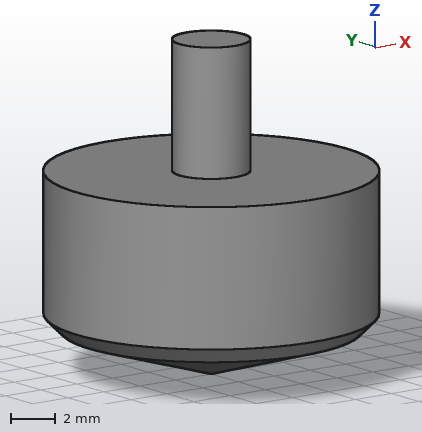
import cadquery as cq

total_height = 15.3
body_diameter = 15.0
stem_diameter = 3.5
stem_length = 6.0
chamfer_size = 0.75
cone_height = 2.05

body_radius = body_diameter / 2
stem_radius = stem_diameter / 2
cone_radius = body_radius - chamfer_size
body_bottom = cone_height + chamfer_size
body_top = total_height - stem_length

profile = (
    cq.Workplane("XZ")
    .moveTo(0, 0)
    .lineTo(cone_radius, cone_height)
    .lineTo(body_radius, body_bottom)
    .lineTo(body_radius, body_top)
    .lineTo(stem_radius, body_top)
    .lineTo(stem_radius, total_height)
    .lineTo(0, total_height)
    .close()
)

result = profile.revolve(360, (0, 0, 0), (0, 1, 0))